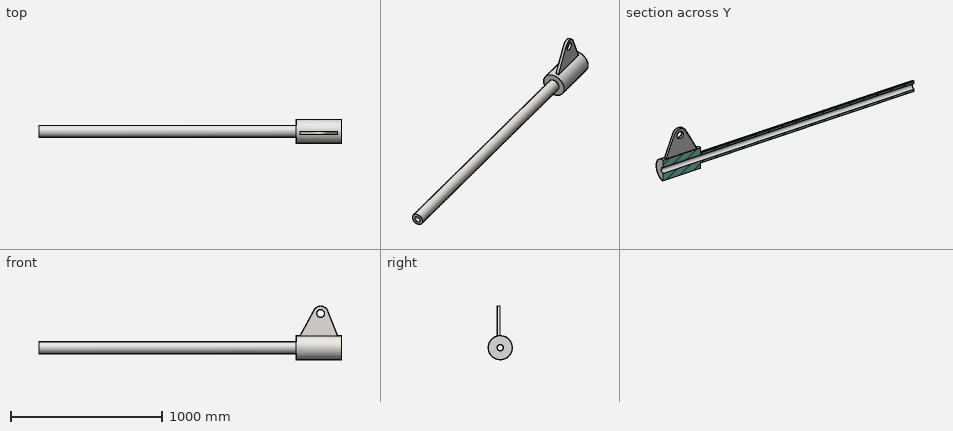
import cadquery as cq
import math

total_length = 2000.0
bar_diameter = 80.0
bore_diameter = 40.0
sleeve_length = 300.0
sleeve_diameter = 160.0

overall_height = 355.0
lug_thickness = 20.0
lug_back_y = 0.0
lug_base_left_x = 1725.0
lug_base_right_x = 1975.0
eye_x = 1862.0
eye_radius = 50.0
eye_hole_diameter = 50.0

sleeve_radius = sleeve_diameter / 2
sleeve_start_x = total_length - sleeve_length
lug_top_z = overall_height - sleeve_radius
eye_z = lug_top_z - eye_radius
foot_depth = 10.0


def x_cylinder(diameter, start_x, length):
    """Cylinder on the X axis."""
    return cq.Workplane("YZ").workplane(offset=start_x).circle(diameter / 2).extrude(length)


def eye_tangent_point(base_x):
    """Point where the straight side from the lug base touches the rounded eye."""
    run = base_x - eye_x
    drop = sleeve_radius - eye_z
    side = math.copysign(1, run)
    angle = math.atan2(drop, run) + side * math.acos(eye_radius / math.hypot(run, drop))
    return eye_x + eye_radius * math.cos(angle), eye_z + eye_radius * math.sin(angle)


def make_lug():
    """Tapered plate with a rounded top and a round eye hole."""
    foot_z = sleeve_radius - foot_depth
    plate = (
        cq.Workplane("XZ", origin=(0, lug_back_y, 0))
        .moveTo(lug_base_left_x, foot_z)
        .lineTo(lug_base_left_x, sleeve_radius)
        .lineTo(*eye_tangent_point(lug_base_left_x))
        .threePointArc((eye_x, lug_top_z), eye_tangent_point(lug_base_right_x))
        .lineTo(lug_base_right_x, sleeve_radius)
        .lineTo(lug_base_right_x, foot_z)
        .close()
        .extrude(lug_thickness)
    )
    hole = (
        cq.Workplane("XZ", origin=(0, lug_back_y, 0))
        .center(eye_x, eye_z)
        .circle(eye_hole_diameter / 2)
        .extrude(lug_thickness)
    )
    return plate.cut(hole)


bar = x_cylinder(bar_diameter, 0, total_length)
sleeve = x_cylinder(sleeve_diameter, sleeve_start_x, sleeve_length)
bore = x_cylinder(bore_diameter, 0, total_length)

result = bar.union(sleeve).union(make_lug()).cut(bore)